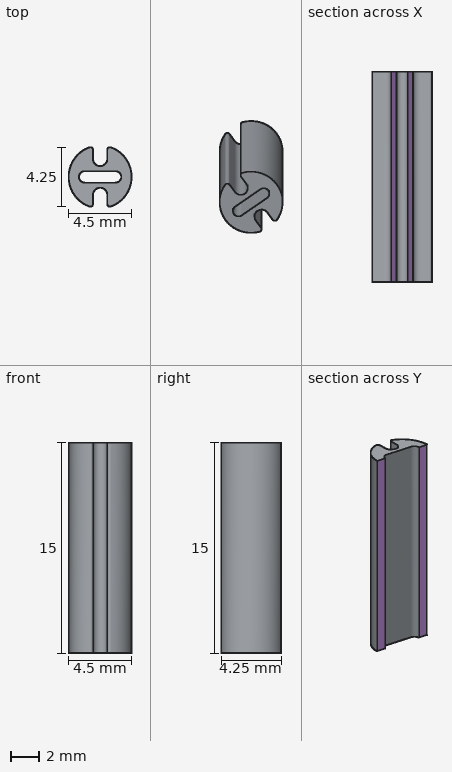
import cadquery as cq

length = 15
diameter = 4.5

groove_width = 1.0
groove_floor_y = 0.78
lip_radius = 0.2

slot_length = 3
slot_width = 0.8


def groove_cutter(side):
    """Round-bottomed groove open toward +Y (side = 1) or -Y (side = -1)."""
    cutter_length = diameter
    centre_y = side * (groove_floor_y + cutter_length / 2)
    return (
        cq.Workplane("XY")
        .center(0, centre_y)
        .slot2D(cutter_length, groove_width, 90)
        .extrude(length)
    )


def lip_edges(side):
    """Selector for the two lengthwise edges at the mouth of one groove."""
    floor_centre_y = groove_floor_y + groove_width / 2
    return cq.selectors.BoxSelector(
        (-groove_width, side * (floor_centre_y + lip_radius), 0),
        (groove_width, side * diameter, length),
    )


bar = cq.Workplane("XY").circle(diameter / 2).extrude(length)
for side in (1, -1):
    bar = bar.cut(groove_cutter(side))
    bar = bar.edges("|Z").edges(lip_edges(side)).fillet(lip_radius)

slot = cq.Workplane("XY").slot2D(slot_length, slot_width).extrude(length)
result = bar.cut(slot)